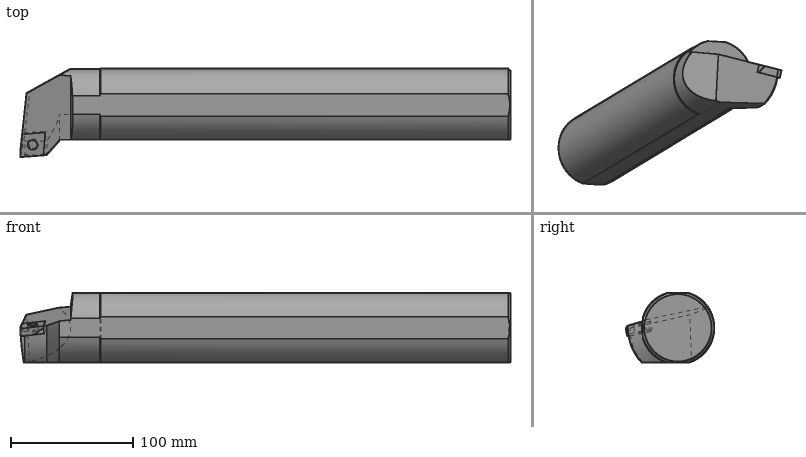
import cadquery as cq
import math

length = 402.0
overall_width = 72.7
shank_radius = 60.0 / 2
neck_radius = 59.0 / 2
flat_offset = 28.5
end_chamfer = 2.5
neck_end = 65.0
step_length = 1.0

head_radius = 41.0
head_cone_start = 21.5
head_cone_end = 32.0
nose_taper_length = 4.0
nose_taper_depth = 1.5
front_corner = (5.2, 9.5, 11.0)
front_slant = 0.12
front_lean = 0.06
relief_angle = 29.0

wall_x = 41.5
floor_height = 6.5
wall_lean = 12.0
floor_rise_x = 0.1
floor_rise_y = 0.21

insert_tip = (0.0, shank_radius - overall_width)
insert_side = 19.3
insert_thickness = 6.5
insert_corner_angle = 80.0
insert_lead_angle = 4.5
insert_hole_diameter = 8.0

margin = 120.5


def revolve_profile(points):
    """Revolve an (X, radius) outline around the bar axis."""
    return cq.Workplane("XY").polyline(points).close().revolve(360, (0, 0, 0), (1, 0, 0))


def floor_plane(x, y):
    """Plane on the chip floor above (x, y), with its normal pointing up out of the floor."""
    z = floor_height + floor_rise_x * (x - wall_x) + floor_rise_y * (y + flat_offset)
    y_direction = cq.Vector(0, 1, floor_rise_y)
    normal = cq.Vector(-floor_rise_x, -floor_rise_y, 1)
    return cq.Plane(origin=(x, y, z), xDir=y_direction.cross(normal), normal=normal)


def make_bar():
    """Round bar with its neck, flattened at the top, the bottom and the -Y side."""
    bar = revolve_profile([
        (0, 0),
        (0, neck_radius),
        (neck_end, neck_radius),
        (neck_end + step_length, shank_radius),
        (length - end_chamfer, shank_radius),
        (length, shank_radius - end_chamfer),
        (length, 0),
    ])
    flats = cq.Workplane("XY").box(
        length, flat_offset + margin, 2 * flat_offset, centered=(False, False, True)
    )
    return bar.intersect(flats.translate((0, -flat_offset, 0)))


def make_head():
    """Half-round nose on the -Y side, with a front taper and a back cone."""
    nose = revolve_profile([
        (0, 0),
        (0, head_radius - nose_taper_depth),
        (nose_taper_length, head_radius),
        (head_cone_start, head_radius),
        (head_cone_end, neck_radius),
        (head_cone_end, 0),
    ])
    lower_side = cq.Workplane("XY").box(margin, margin, 2 * flat_offset, centered=(False, False, True))
    return nose.intersect(lower_side.translate((0, -margin, 0)))


def make_front_waste():
    """Material ahead of the slanted, leaning front face and the upright rear relief."""
    relief = math.radians(relief_angle)
    outward_normals = [
        cq.Vector(-1, front_slant, -front_lean),
        cq.Vector(-math.sin(relief), math.cos(relief), 0),
    ]
    return [
        cq.Workplane(cq.Plane(origin=front_corner, xDir=normal.cross(cq.Vector(0, 0, 1)), normal=normal))
        .rect(2 * margin, 2 * margin)
        .extrude(margin)
        for normal in outward_normals
    ]


def make_chip_space():
    """Space above the chip floor, ending at a wall that leans back towards +X."""
    floor = floor_plane(wall_x, -flat_offset)
    side_plane = cq.Plane(origin=floor.origin, xDir=floor.xDir, normal=-floor.yDir)
    wall_top_x = margin * math.tan(math.radians(wall_lean))
    outline = [(0, 0), (wall_top_x, margin), (-margin, margin), (-margin, 0)]
    return cq.Workplane(side_plane).polyline(outline).close().extrude(margin, both=True)


def make_insert_blank():
    """Rhombic block hanging from the chip floor, with its sharp corner at the cutting tip."""
    end_angle = math.radians(90 - insert_lead_angle - insert_corner_angle)
    long_angle = math.radians(90 - insert_lead_angle)
    end_side = (insert_side * math.cos(end_angle), insert_side * math.sin(end_angle))
    long_side = (insert_side * math.cos(long_angle), insert_side * math.sin(long_angle))
    far_corner = (end_side[0] + long_side[0], end_side[1] + long_side[1])
    blank = (
        cq.Workplane(floor_plane(*insert_tip))
        .polyline([(0, 0), end_side, far_corner, long_side])
        .close()
        .extrude(-insert_thickness)
    )
    return blank, (far_corner[0] / 2, far_corner[1] / 2)


def make_insert():
    """Insert with a round hole through its middle."""
    blank, center = make_insert_blank()
    hole = (
        cq.Workplane(floor_plane(*insert_tip))
        .center(*center)
        .circle(insert_hole_diameter / 2)
        .extrude(-insert_thickness)
    )
    return blank.cut(hole)


def make_holder(insert):
    """Bar and head in one piece; a post in the insert seat fills the insert hole."""
    holder = make_bar().union(make_head())
    for waste in [*make_front_waste(), make_chip_space(), insert]:
        holder = holder.cut(waste)
    return holder.solids()


insert = make_insert().solids()
holder = make_holder(insert)

result = cq.Compound.makeCompound([holder.val(), insert.val()])